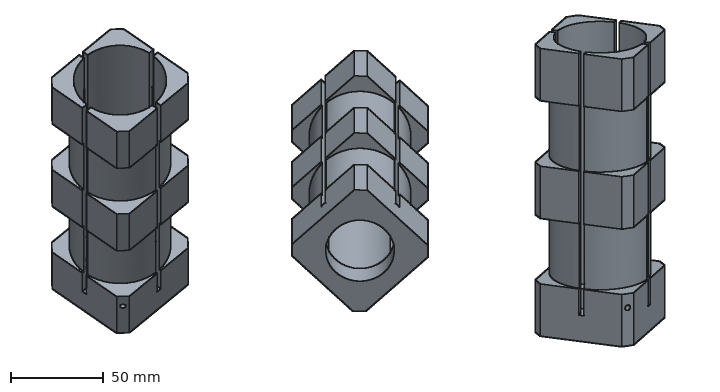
import cadquery as cq

height = 165.0
block_width = 57.0
corner_chamfer = 5.0

block_count = 3
block_height = 30.0
block_pitch = (height - block_height) / (block_count - 1)
tube_diameter = 55.0

bore_diameter = 50.0
floor_hole_diameter = 37.0
floor_height = block_height / 2

slot_width = 3.0

corner_hole_diameter = 3.0
corner_hole_height = 22.0
corner_hole_angle = -45


def make_block(bottom):
    """Square block with bevelled vertical corners."""
    block = cq.Workplane("XY").workplane(offset=bottom).rect(block_width, block_width).extrude(block_height)
    return block.edges("|Z").chamfer(corner_chamfer)


def make_body():
    """Round tube blank joined to its square blocks."""
    body = cq.Workplane("XY").circle(tube_diameter / 2).extrude(height)
    for index in range(block_count):
        body = body.union(make_block(index * block_pitch))
    return body


def make_bore():
    """Wide bore down to the floor, with the through hole below it."""
    through_hole = cq.Workplane("XY").circle(floor_hole_diameter / 2).extrude(height)
    wide_bore = (
        cq.Workplane("XY")
        .workplane(offset=floor_height)
        .circle(bore_diameter / 2)
        .extrude(height - floor_height)
    )
    return through_hole.union(wide_bore)


def make_slots():
    """Crossed slots along X and Y, open at the top."""
    base = cq.Workplane("XY").workplane(offset=floor_height)
    slot_depth = height - floor_height
    along_x = base.rect(block_width, slot_width).extrude(slot_depth)
    along_y = base.rect(slot_width, block_width).extrude(slot_depth)
    return along_x.union(along_y)


def make_corner_hole():
    """Horizontal hole from the axis out through one corner."""
    return (
        cq.Workplane("YZ")
        .center(0, corner_hole_height)
        .circle(corner_hole_diameter / 2)
        .extrude(block_width)
        .rotate((0, 0, 0), (0, 0, 1), corner_hole_angle)
    )


result = make_body().cut(make_bore()).cut(make_slots()).cut(make_corner_hole())